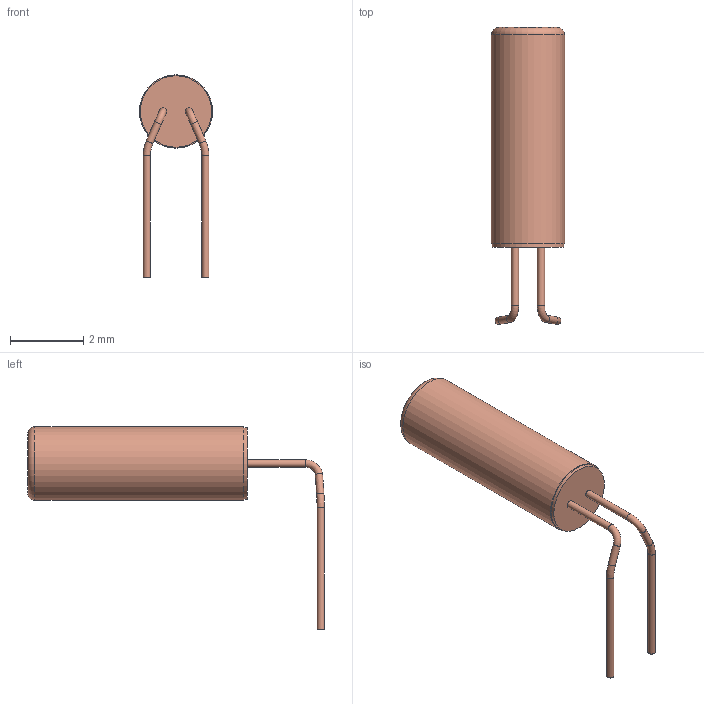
import cadquery as cq
import math

can_radius = 1.0
can_length = 6.0
can_fillet = 0.2

base_radius = 0.975
base_length = 0.1

lead_diameter = 0.2
lead_exit_spacing = 0.71
lead_tail_spacing = 1.6
lead_tip_z = -4.52
base_face_y = 2.0
elbow_y = 0.07
knee_z = -1.02
elbow_radius = 0.37
knee_radius = 0.9

can_front_y = base_face_y + base_length
can_rear_y = base_face_y + can_length


def cylinder_along_y(radius, start_y, end_y):
    """Solid cylinder on the can axis between two Y positions."""
    length = end_y - start_y
    return cq.Workplane("XZ", origin=(0, start_y, 0)).circle(radius).extrude(-length)


def make_body():
    """Can with a rounded rear end and the base disc at its front."""
    can = cylinder_along_y(can_radius, can_front_y, can_rear_y)
    can = can.faces(">Y").edges().fillet(can_fillet)
    base = cylinder_along_y(base_radius, base_face_y, can_front_y)
    return can.union(base)


def bend(before, corner, after, radius):
    """Start, middle and end of the arc that rounds a corner of the lead path."""
    toward_before = (before - corner).normalized()
    toward_after = (after - corner).normalized()
    half_angle = toward_before.getAngle(toward_after) / 2
    tangent_length = radius / math.tan(half_angle)
    middle_distance = radius / math.sin(half_angle) - radius
    bisector = (toward_before + toward_after).normalized()
    return (
        corner + toward_before * tangent_length,
        corner + bisector * middle_distance,
        corner + toward_after * tangent_length,
    )


def make_lead(side):
    """One round lead: out of the base, down and outward, then straight down."""
    exit_x = side * lead_exit_spacing / 2
    tail_x = side * lead_tail_spacing / 2
    root = cq.Vector(exit_x, can_front_y, 0)
    elbow = cq.Vector(exit_x, elbow_y, 0)
    knee = cq.Vector(tail_x, 0, knee_z)
    tip = cq.Vector(tail_x, 0, lead_tip_z)

    elbow_start, elbow_middle, elbow_end = bend(root, elbow, knee, elbow_radius)
    knee_start, knee_middle, knee_end = bend(elbow, knee, tip, knee_radius)
    path = cq.Wire.assembleEdges([
        cq.Edge.makeLine(root, elbow_start),
        cq.Edge.makeThreePointArc(elbow_start, elbow_middle, elbow_end),
        cq.Edge.makeLine(elbow_end, knee_start),
        cq.Edge.makeThreePointArc(knee_start, knee_middle, knee_end),
        cq.Edge.makeLine(knee_end, tip),
    ])
    section = cq.Workplane("XZ", origin=root.toTuple()).circle(lead_diameter / 2)
    return section.sweep(cq.Workplane(path))


result = make_body()
for side in (-1, 1):
    result = result.union(make_lead(side))